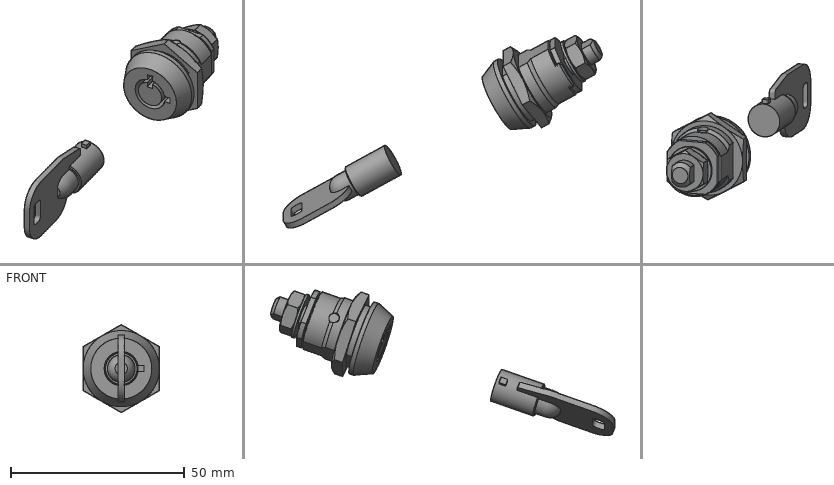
import cadquery as cq
import math


rim_radius = 11.0
rim_front_radius = 8.8
rim_cone_length = 5.0
rim_length = 6.4
thread_radius = 9.6
thread_end = 14.7
barrel_radius = 8.8
barrel_start = 15.8
barrel_end = 21.6
body_flat_width = 16.1

dimple_diameter = 3.0
dimple_y = 15.0
dimple_floor = 8.6

collar_radius = 6.9
collar_end = 21.9
neck_radius = 6.6
driver_start = 22.1
driver_end = 23.7
driver_corner_radius = 8.7
driver_width = 15.4
stud_radius = 3.7
stud_end = 33.6
stud_chamfer_radial = 1.3
stud_chamfer_length = 1.0
stud_flat_width = 5.5

stop_end = 23.5
stop_chamfer = 0.5

notch_width = 1.8
keyway_outer_radius = 4.9
keyway_inner_radius = 3.9
keyway_depth = 12.6
notch_reach = 6.6
notch_inner = 2.3

nut_chamfer_angle = 30
hex_sides = 6
hex_half_angle = 180 / hex_sides
mounting_nut_width = 2 * rim_radius
mounting_nut_front = 8.3
mounting_nut_thickness = 3.5
washer_radius = 6.6
washer_front = 24.9
washer_thickness = 0.7
stud_nut_width = 11.2
stud_nut_thickness = 4.1

key_front = -35.0
key_barrel_diameter = 9.7
key_barrel_radius = key_barrel_diameter / 2
key_barrel_end = -48.3
key_barrel_chamfer = 0.3
key_neck_radius = 4.0
key_neck_end = -51.5
key_dome_length = 3.6
tab_front = -36.0
tab_rear = -38.1
tab_top = 6.0

blade_thickness = 1.8
tab_width = notch_width
blade_half_height = 9.6
blade_tip = -71.1
blade_shoulder = -41.7
blade_shoulder_height = 7.3
blade_slope_end = -51.7
blade_heel = -49.1
blade_corner_radius = 6.6
blade_shoulder_fillet = 1.0
hole_front = -64.8
hole_rear = -68.5
hole_height = 7.3
hole_fillet = 1.2


def revolve_profile(points):
    """Solid of revolution about the Y axis from (radius, y) points."""
    return cq.Workplane("XY").polyline(points).close().revolve(360, (0, 0, 0), (0, 1, 0))


def cylinder(radius, y_start, y_end):
    """Solid cylinder along Y between two Y positions."""
    return cq.Workplane("XZ", origin=(0, y_start, 0)).circle(radius).extrude(y_start - y_end)


def block(x_min, x_max, y_min, y_max, z_min, z_max):
    """Box given by its limits on each axis."""
    return cq.Workplane("XY").box(
        x_max - x_min, y_max - y_min, z_max - z_min, centered=False
    ).translate((x_min, y_min, z_min))


def centred_block(x_width, y_min, y_max, z_height):
    """Box centred on the Y axis."""
    return block(-x_width / 2, x_width / 2, y_min, y_max, -z_height / 2, z_height / 2)


def make_housing_shell():
    rim = revolve_profile([
        (0, 0),
        (rim_front_radius, 0),
        (rim_radius, rim_cone_length),
        (rim_radius, rim_length),
        (0, rim_length),
    ])
    shank = revolve_profile([
        (0, rim_length),
        (thread_radius, rim_length),
        (thread_radius, thread_end),
        (barrel_radius, barrel_start),
        (barrel_radius, barrel_end),
        (0, barrel_end),
    ])
    flats = centred_block(body_flat_width, rim_length, barrel_end, 2 * thread_radius)
    dimple = (
        cq.Workplane("XY", origin=(0, dimple_y, dimple_floor))
        .circle(dimple_diameter / 2)
        .extrude(thread_radius)
    )
    return rim.union(shank.intersect(flats)).cut(dimple)


def make_driver_and_stud():
    neck = cylinder(collar_radius, barrel_end, collar_end).union(
        cylinder(neck_radius, collar_end, driver_start)
    )
    driver = cylinder(driver_corner_radius, driver_start, driver_end).intersect(
        centred_block(driver_width, driver_start, driver_end, driver_width)
    )
    stud = revolve_profile([
        (0, driver_end),
        (stud_radius, driver_end),
        (stud_radius, stud_end - stud_chamfer_length),
        (stud_radius - stud_chamfer_radial, stud_end),
        (0, stud_end),
    ]).intersect(centred_block(stud_flat_width, driver_end, stud_end, 2 * stud_radius))
    return neck.union(driver).union(stud)


def make_stop_lug():
    lug = revolve_profile([
        (0, barrel_end),
        (barrel_radius, barrel_end),
        (barrel_radius, stop_end - stop_chamfer),
        (barrel_radius - stop_chamfer, stop_end),
        (0, stop_end),
    ])
    below_driver = block(
        -barrel_radius, barrel_radius, barrel_end, stop_end, -barrel_radius, -driver_width / 2
    )
    return lug.intersect(below_driver)


def make_keyway():
    ring = cylinder(keyway_outer_radius, 0, keyway_depth).cut(
        cylinder(keyway_inner_radius, 0, keyway_depth)
    )
    side_notch = block(
        keyway_inner_radius, notch_reach, 0, keyway_depth, -notch_width / 2, notch_width / 2
    )
    top_notch = block(
        -notch_width / 2, notch_width / 2, 0, keyway_depth, notch_inner, notch_reach
    )
    return ring.union(side_notch).union(top_notch)


def make_lock():
    return make_housing_shell().union(make_driver_and_stud()).union(make_stop_lug()).cut(make_keyway())


def hex_blank(width_across_flats, y_start, thickness, chamfer_front):
    """Hexagon with points up and down; rear corners chamfered, front ones if asked."""
    flat_radius = width_across_flats / 2
    corner_radius = flat_radius / math.cos(math.radians(hex_half_angle))
    drop = (corner_radius - flat_radius) * math.tan(math.radians(nut_chamfer_angle))
    y_end = y_start + thickness
    prism = (
        cq.Workplane("XZ", origin=(0, y_start, 0))
        .polygon(hex_sides, 2 * corner_radius)
        .extrude(-thickness)
        .rotate((0, 0, 0), (0, 1, 0), hex_half_angle)
    )
    front_points = [(flat_radius, y_start), (corner_radius, y_start + drop)]
    if not chamfer_front:
        front_points = [(corner_radius, y_start)]
    envelope = revolve_profile(
        [(0, y_start)] + front_points + [(corner_radius, y_end - drop), (flat_radius, y_end), (0, y_end)]
    )
    return prism.intersect(envelope)


def make_mounting_nut():
    nut = hex_blank(mounting_nut_width, mounting_nut_front, mounting_nut_thickness, False)
    return nut.cut(make_housing_shell())


def make_stud_nut():
    """Hexagon nut with a round washer flange at its front."""
    nut_front = washer_front + washer_thickness
    flange = cylinder(washer_radius, washer_front, nut_front)
    nut = hex_blank(stud_nut_width, nut_front, stud_nut_thickness, True)
    return flange.union(nut).cut(make_driver_and_stud())


def make_key_barrel():
    dome_tip_radius = math.sqrt(key_neck_radius ** 2 - key_dome_length ** 2)
    half_length = key_dome_length / 2
    dome_mid_radius = math.sqrt(key_neck_radius ** 2 - half_length ** 2)
    barrel = (
        cq.Workplane("XY")
        .moveTo(0, key_front)
        .lineTo(key_barrel_radius, key_front)
        .lineTo(key_barrel_radius, key_barrel_end + key_barrel_chamfer)
        .lineTo(key_barrel_radius - key_barrel_chamfer, key_barrel_end)
        .lineTo(key_neck_radius, key_barrel_end)
        .lineTo(key_neck_radius, key_neck_end)
        .threePointArc(
            (dome_mid_radius, key_neck_end - half_length),
            (dome_tip_radius, key_neck_end - key_dome_length),
        )
        .lineTo(0, key_neck_end - key_dome_length)
        .close()
        .revolve(360, (0, 0, 0), (0, 1, 0))
    )
    tab = block(-tab_width / 2, tab_width / 2, tab_rear, tab_front, key_neck_radius, tab_top)
    return barrel.union(tab)


def make_key_blade():
    outline = [
        (blade_shoulder, 0),
        (blade_shoulder, blade_shoulder_height),
        (blade_slope_end, blade_half_height),
        (blade_tip, blade_half_height),
        (blade_tip, -blade_half_height),
        (blade_heel, -blade_half_height),
        (blade_heel, 0),
    ]
    side = cq.Workplane("YZ", origin=(-blade_thickness / 2, 0, 0))
    blade = side.polyline(outline).close().extrude(blade_thickness)
    large_corners = [
        (blade_tip, blade_half_height),
        (blade_tip, -blade_half_height),
        (blade_heel, -blade_half_height),
    ]
    for y, z in large_corners:
        corner_edge = cq.selectors.NearestToPointSelector((0, y, z))
        blade = blade.edges("|X").edges(corner_edge).fillet(blade_corner_radius)
    shoulder_edge = cq.selectors.NearestToPointSelector((0, blade_shoulder, blade_shoulder_height))
    blade = blade.edges("|X").edges(shoulder_edge).fillet(blade_shoulder_fillet)
    ring_hole = block(
        -blade_thickness, blade_thickness, hole_rear, hole_front, -hole_height / 2, hole_height / 2
    ).edges("|X").fillet(hole_fillet)
    return blade.cut(ring_hole)


def make_key():
    return make_key_barrel().union(make_key_blade())


lock = make_lock()
mounting_nut = make_mounting_nut()
stud_nut = make_stud_nut()
key = make_key()

result = cq.Compound.makeCompound([lock.val(), mounting_nut.val(), stud_nut.val(), key.val()])